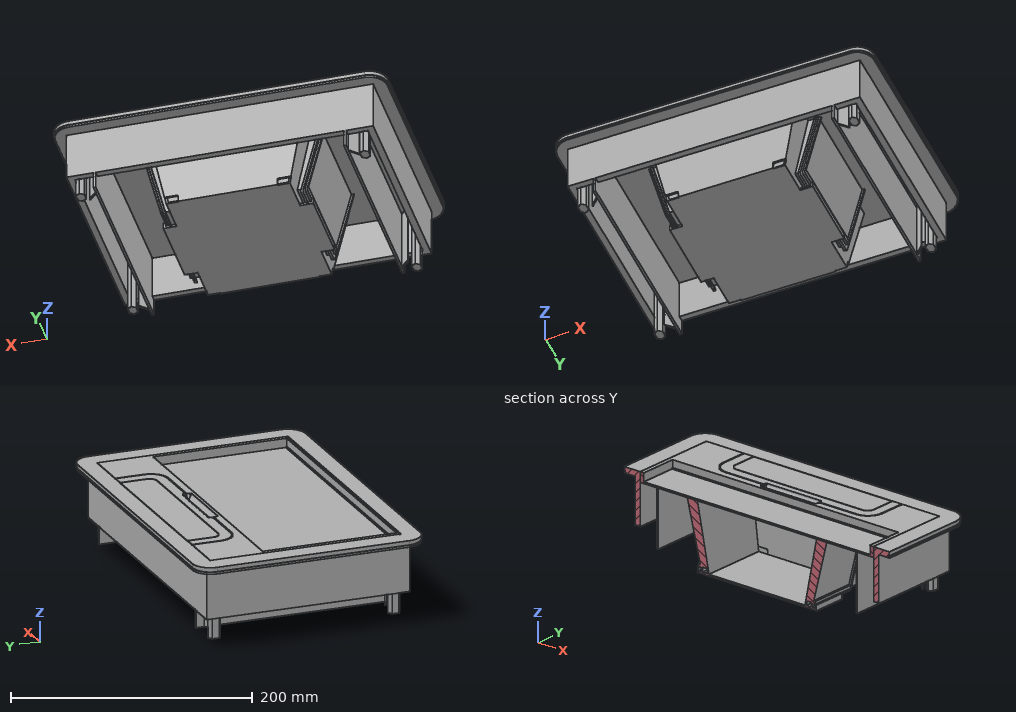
import cadquery as cq
import math

FLANGE_LENGTH = 286.0
FLANGE_WIDTH = 203.0
FLANGE_RADIUS = 16.0
FLANGE_THICKNESS = 4.0
LIP_THICKNESS = 2.0
LIP_INSET = 0.5
HOUSING_LENGTH = 263.0
HOUSING_WIDTH = 181.0
HOUSING_BOTTOM = -49.5
OPENING_LENGTH = 251.0
OPENING_WIDTH = 170.0

POST_LENGTH = 7.5
POST_WIDTH = 11.0
POST_FLAT = 6.0
POST_X = (OPENING_LENGTH - POST_LENGTH) / 2
POST_Y = 80.0
LEFT_POST_BOTTOM = -69.5
RAIL_BOTTOM = -64.5
RAIL_OUTER_X = 108.5
RAIL_THICKNESS = 2.0
BRACE_START_Y = -83.5
BRACE_REACH = 7.1
BRACE_THICKNESS = 1.1

SHEET = 2.0
FIELD_DEPTH = 8.0
LID_THICKNESS = FIELD_DEPTH + SHEET
LID_BOTTOM = -LID_THICKNESS
GAP = 1.0
FIELD_LENGTH = 243.0
FIELD_FRONT = -82.5
FIELD_REAR = 36.5
FIELD_CHAMFER = 1.0

FLAP_LENGTH = 169.3
FLAP_FRONT = 44.5
FLAP_RADIUS = 14.5
PANEL_INSET = 10.0
PANEL_RADIUS = 7.0
PANEL_DEPTH = 0.3

GRIP_LENGTH = 60.0
GRIP_RADIUS = 4.0
GRIP_END_RADIUS = 3.7
GRIP_CORNER = 1.5
GRIP_Y = FLAP_FRONT - GAP

TRAY_BOTTOM = -74.0
TRAY_LENGTH = 106.0
TRAY_WIDTH = 131.0
TRAY_END_SLOPE = 0.2
TRAY_SIDE_SLOPE = 0.09
NOTCH_TOP = -68.0
NOTCH_INNER_X = 42.5
NOTCH_DEPTH = 1.5
NOTCH_RADIUS = 1.5

CLIP_SLOPE = 0.25
CLIP_WIDTH = 98.5
CLIP_BOTTOM = -72.4
CLIP_INNER_X = 63.5
CLIP_RADIUS = 2.0
RIM_WIDTH = 92.7
RIM_BOTTOM = -69.0
RIM_OPENING_WIDTH = 89.8
RIM_OPENING_BOTTOM = -65.5
WEB_INNER_X = 47.2
TAB_WIDTH = 65.8
TAB_REACH = 64.3
TAB_THICKNESS = 2.3
TAB_HEIGHT = 5.5


def block(x0, x1, y0, y1, z0, z1):
    return cq.Workplane("XY").box(x1 - x0, y1 - y0, z1 - z0, centered=False).translate((x0, y0, z0))


def centered_block(length, width, z0, z1):
    return block(-length / 2, length / 2, -width / 2, width / 2, z0, z1)


def mirrored_pair(shape, plane):
    return shape.union(shape.mirror(plane))



def make_post(x, y, bottom):
    """Six-sided post with its long axis along Y."""
    half_length = POST_LENGTH / 2
    half_flat = POST_FLAT / 2
    half_width = POST_WIDTH / 2
    corners = [
        (half_length, -half_flat), (half_length, half_flat), (0, half_width),
        (-half_length, half_flat), (-half_length, -half_flat), (0, -half_width),
    ]
    post = cq.Workplane("XY").polyline(corners).close().extrude(LID_BOTTOM - bottom)
    return post.translate((x, y, bottom))


def make_brace():
    """Diagonal fin running outward and rearward from the left rail near the front wall."""
    outer_x = -RAIL_OUTER_X - BRACE_REACH
    end_y = BRACE_START_Y + BRACE_REACH
    thickness_y = BRACE_THICKNESS * math.sqrt(2)
    outline = [
        (-RAIL_OUTER_X, BRACE_START_Y), (outer_x, end_y),
        (outer_x, end_y + thickness_y), (-RAIL_OUTER_X, BRACE_START_Y + thickness_y),
    ]
    brace = cq.Workplane("XY").polyline(outline).close().extrude(LID_BOTTOM - RAIL_BOTTOM)
    return brace.translate((0, 0, RAIL_BOTTOM))


def make_housing():
    lip_bottom = -FLANGE_THICKNESS - LIP_THICKNESS
    flange = centered_block(FLANGE_LENGTH, FLANGE_WIDTH, -FLANGE_THICKNESS, 0)
    flange = flange.edges("|Z").fillet(FLANGE_RADIUS)
    lip = centered_block(FLANGE_LENGTH - 2 * LIP_INSET, FLANGE_WIDTH - 2 * LIP_INSET,
                         lip_bottom, -FLANGE_THICKNESS)
    lip = lip.edges("|Z").fillet(FLANGE_RADIUS - LIP_INSET)
    walls = centered_block(HOUSING_LENGTH, HOUSING_WIDTH, HOUSING_BOTTOM, lip_bottom)
    housing = flange.union(lip).union(walls)
    housing = housing.cut(centered_block(OPENING_LENGTH, OPENING_WIDTH, HOUSING_BOTTOM, 0))

    rail = block(-RAIL_OUTER_X, -RAIL_OUTER_X + RAIL_THICKNESS, -HOUSING_WIDTH / 2, HOUSING_WIDTH / 2,
                 RAIL_BOTTOM, LID_BOTTOM)
    braced_rail = rail.union(mirrored_pair(make_brace(), "XZ"))
    housing = housing.union(mirrored_pair(braced_rail, "YZ"))

    for y in (-POST_Y, POST_Y):
        housing = housing.union(make_post(-POST_X, y, LEFT_POST_BOTTOM))
        housing = housing.union(make_post(POST_X, y, RAIL_BOTTOM))
    return housing



def flap_shape(inset, radius, bottom, top):
    """Flap outline moved inward by inset, with rounded front corners, up to the rear of the opening."""
    half_length = FLAP_LENGTH / 2 - inset
    shape = block(-half_length, half_length, FLAP_FRONT + inset, OPENING_WIDTH / 2, bottom, top)
    return shape.edges("|Z and <Y").fillet(radius)


def make_grip():
    """Round-bottomed trough with rounded ends."""
    half_length = GRIP_LENGTH / 2
    across = cq.Workplane("YZ").circle(GRIP_RADIUS).extrude(half_length, both=True)
    along = centered_block(GRIP_LENGTH, 2 * GRIP_RADIUS, -GRIP_RADIUS, GRIP_RADIUS)
    along = along.edges("|Y").fillet(GRIP_END_RADIUS)
    plan = centered_block(GRIP_LENGTH, 2 * GRIP_RADIUS, -GRIP_RADIUS, GRIP_RADIUS)
    plan = plan.edges("|Z").fillet(GRIP_CORNER)
    return across.intersect(along).intersect(plan).translate((0, GRIP_Y, 0))


def make_lid():
    """Base sheet filling the opening and an upper part with a gap to the frame in front."""
    lid = centered_block(OPENING_LENGTH, OPENING_WIDTH, LID_BOTTOM, 0)
    lid = lid.cut(block(-OPENING_LENGTH / 2, OPENING_LENGTH / 2, -OPENING_WIDTH / 2,
                        -OPENING_WIDTH / 2 + GAP, -FIELD_DEPTH, 0))
    field = block(-FIELD_LENGTH / 2, FIELD_LENGTH / 2, FIELD_FRONT, FIELD_REAR, -FIELD_DEPTH, 0)
    field = field.edges("|X and <Z").chamfer(FIELD_CHAMFER)
    flap_pocket = flap_shape(-GAP, FLAP_RADIUS + GAP, -FIELD_DEPTH, 0)
    return lid.cut(field).cut(flap_pocket).cut(make_grip())


def make_flap():
    """Flap resting on the base sheet of the lid, with a shallow panel recess on top."""
    flap = flap_shape(0, FLAP_RADIUS, -FIELD_DEPTH, 0)
    panel = flap_shape(PANEL_INSET, PANEL_RADIUS, -PANEL_DEPTH, 0)
    return flap.cut(panel).cut(make_grip())



def tapered_block(inset, bottom):
    """Block widening upward along the tray's walls, moved inward by inset, up to the lid."""
    def size_at(z):
        rise = z - TRAY_BOTTOM
        length = TRAY_LENGTH + 2 * (TRAY_END_SLOPE * rise - inset)
        width = TRAY_WIDTH + 2 * (TRAY_SIDE_SLOPE * rise - inset)
        return length, width

    base = cq.Workplane("XY").workplane(offset=bottom).rect(*size_at(bottom))
    return base.workplane(offset=LID_BOTTOM - bottom).rect(*size_at(LID_BOTTOM)).loft(combine=True)


def sloped_slab(inner_x, outer_x, width, bottom):
    """Left-hand slab leaning outward; inner_x and outer_x are its face distances at HOUSING_BOTTOM."""
    def lean_at(z):
        return -CLIP_SLOPE * (z - HOUSING_BOTTOM)

    outline = [
        (-inner_x + lean_at(bottom), bottom), (-inner_x + lean_at(LID_BOTTOM), LID_BOTTOM),
        (-outer_x + lean_at(LID_BOTTOM), LID_BOTTOM), (-outer_x + lean_at(bottom), bottom),
    ]
    return cq.Workplane("XZ").polyline(outline).close().extrude(width / 2, both=True)


def rounded_plate(inner_x, width, bottom):
    """Sloped sheet with rounded lower corners."""
    slab = sloped_slab(inner_x, inner_x + SHEET, width, bottom)
    outline = centered_block(FLANGE_LENGTH, width, bottom, LID_BOTTOM)
    return slab.intersect(outline.edges("|X and <Z").fillet(CLIP_RADIUS))


def make_end_clip():
    """Clip plate with a raised U-shaped rim, the web behind it and the hooked tab, at the left end."""
    plate = rounded_plate(CLIP_INNER_X, CLIP_WIDTH, CLIP_BOTTOM)
    rim = rounded_plate(CLIP_INNER_X + SHEET, RIM_WIDTH, RIM_BOTTOM)
    rim = rim.cut(centered_block(FLANGE_LENGTH, RIM_OPENING_WIDTH, RIM_OPENING_BOTTOM, LID_BOTTOM))
    web = sloped_slab(WEB_INNER_X, CLIP_INNER_X, RIM_WIDTH, NOTCH_TOP)
    floor = block(-TAB_REACH, -TRAY_LENGTH / 2 + SHEET, -TAB_WIDTH / 2, TAB_WIDTH / 2,
                  TRAY_BOTTOM, TRAY_BOTTOM + TAB_THICKNESS)
    lip = block(-TAB_REACH, -TAB_REACH + SHEET, -TAB_WIDTH / 2, TAB_WIDTH / 2,
                TRAY_BOTTOM, TRAY_BOTTOM + TAB_HEIGHT)
    return plate.union(rim).union(web).union(floor).union(lip)


def make_notch():
    """Shallow recess at the lower left corner of the front wall."""
    wall_y = -TRAY_WIDTH / 2 - TRAY_SIDE_SLOPE * (NOTCH_TOP - TRAY_BOTTOM)
    notch = block(-TRAY_LENGTH, -NOTCH_INNER_X, -TRAY_WIDTH, wall_y + NOTCH_DEPTH,
                  TRAY_BOTTOM, NOTCH_TOP)
    return notch.edges("|Y and >X and >Z").fillet(NOTCH_RADIUS)


def make_tray():
    body = tapered_block(0, TRAY_BOTTOM)
    body = body.union(mirrored_pair(make_end_clip(), "YZ"))
    body = body.cut(tapered_block(SHEET, TRAY_BOTTOM + SHEET))
    notches = mirrored_pair(mirrored_pair(make_notch(), "YZ"), "XZ")
    return body.cut(notches)


housing = make_housing()
lid = make_lid()
flap = make_flap()
tray = make_tray()

result = cq.Compound.makeCompound([body.solids().val() for body in (housing, lid, flap, tray)])